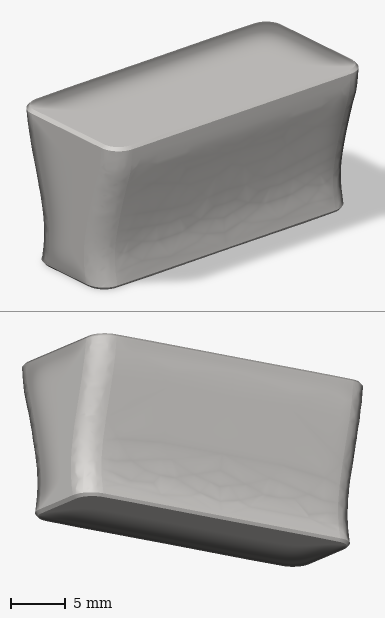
import cadquery as cq

LENGTH = 30.0
HEIGHT = 15.0

BASE_HALF_WIDTH = 4.95
WAIST_HALF_WIDTH = 4.47
LOWER_SLOPE_HALF_WIDTH = 4.92
UPPER_SLOPE_HALF_WIDTH = 6.35
TOP_HALF_WIDTH = 7.02

WAIST_HEIGHT = 3.18
LOWER_SLOPE_HEIGHT = 6.18
UPPER_SLOPE_HEIGHT = 11.25

BASE_LEAN = -0.32
TOP_LEAN = 0.07

CORNER_RADIUS = 2.0
RIM_CHAMFER = 0.3


def waisted_profile():
    """Symmetric XZ outline with a smooth S-curve on each side."""
    right_side = [
        (BASE_HALF_WIDTH, 0),
        (WAIST_HALF_WIDTH, WAIST_HEIGHT),
        (LOWER_SLOPE_HALF_WIDTH, LOWER_SLOPE_HEIGHT),
        (UPPER_SLOPE_HALF_WIDTH, UPPER_SLOPE_HEIGHT),
        (TOP_HALF_WIDTH, HEIGHT),
    ]
    left_side = [(-x, z) for x, z in reversed(right_side)]
    return (
        cq.Workplane("XZ", origin=(0, LENGTH / 2, -HEIGHT / 2))
        .moveTo(*right_side[0])
        .spline(right_side[1:], tangents=[(BASE_LEAN, 1), (TOP_LEAN, 1)], includeCurrent=True)
        .lineTo(*left_side[0])
        .spline(left_side[1:], tangents=[(TOP_LEAN, -1), (BASE_LEAN, -1)], includeCurrent=True)
        .close()
    )


body = waisted_profile().extrude(LENGTH)
body = body.edges("%BSPLINE").fillet(CORNER_RADIUS)

result = body.faces("<Z or >Z").edges().chamfer(RIM_CHAMFER)